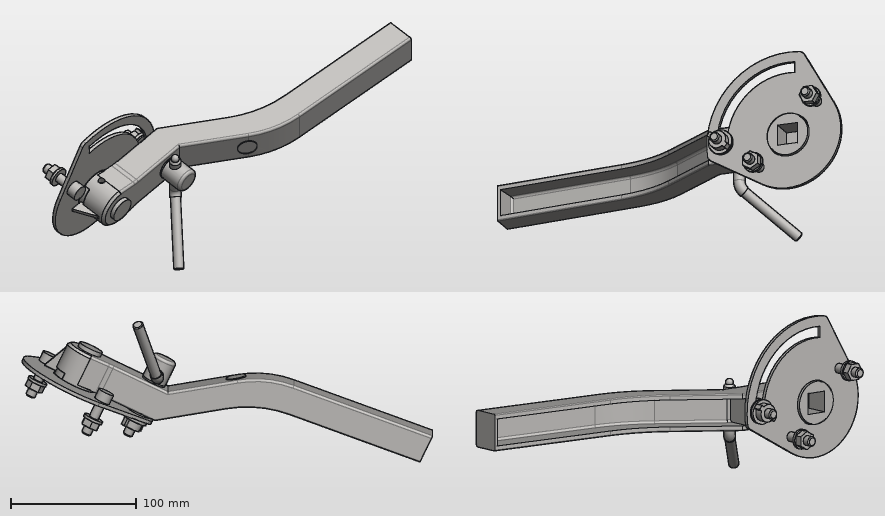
import cadquery as cq
import math


pick_margin = 0.5
edge_reach = 5.5

plate_thickness = 3.0
plate_small_radius = 45.0
plate_large_radius = 70.0
plate_side_slant = 30.0
plate_corner_radius = 5.0
plate_bore_diameter = 36.0
slot_radius = 57.0
slot_width = 9.0
slot_end_offset = 5.5

hub_diameter = 36.6
hub_end_x = 30.7
hub_chamfer = 2.2
spigot_diameter = 35.0
spigot_length = 2.0
socket_size = 17.0
socket_depth = 20.0
end_disc_diameter = 20.0
end_disc_thickness = 3.6
oil_hole_diameter = 5.3
oil_hole_depth = 6.0
oil_hole_x = 11.2
hub_band_end_x = 8.3
hub_band_depth = 1.0
hub_band_half_angle = 53.0
rib_thickness = 3.0
rib_start_x = 5.0
rib_start_y = -27.5
rib_end_y = -17.0

arm_height = 30.0
arm_back_x = 5.0
arm_bend_y = 70.5
arm_middle_angle = math.radians(35.3)
arm_tip_angle = math.radians(5.5)
arm_middle_width = 26.1
arm_tip_width = 23.3
arm_tip_y = 276.0
arm_tip_max_x = 90.32
arm_back_bend_radius = 98.0
arm_front_bend_radius = 88.0
arm_front_fillet = 2.0
arm_back_fillet = 0.8
pocket_wall = 4.0
pocket_end_wall = 2.6
pocket_depth = 19.5
pocket_fillet = 2.0
pocket_overcut = 2.0
pocket_start_y = 67.0
ramp_start_y = 25.0
ramp_foot_y = 20.0
ramp_foot_radius = 22.0
ramp_end_y = 2.0
ramp_end_z = 18.25
badge_diameter = 16.0
badge_height = 0.8
badge_y = 114.9

bolt_circle_radius = 35.0
bolt_diameter = 8.0
bolt_end_x = -27.0
bolt_chamfer = 1.0
bolt_head_diameter = 13.0
bolt_head_height = 8.0
nut_across_flats = 13.0
nut_outer_x = -20.4
nut_inner_x = -14.5
lock_washer_inner_x = -12.2
lock_washer_diameter = 16.0

clamp_diameter = 20.0
clamp_end_x = 52.5
clamp_fillet = 2.5
lock_ring_diameter = 19.4
lock_ring_thickness = 1.3
clamp_stud_end_x = -17.5
clamp_nut_outer_x = -10.6
clamp_nut_diameter = 14.5
clamp_washer_outer_x = -3.9
clamp_nut_ear_angle = 38.0
clamp_nut_ear_span = 19.0
clamp_nut_ear_width = 4.0
handle_x = 38.2
handle_pin_diameter = 9.5
handle_rod_diameter = 8.4
handle_collar_z = 14.5
handle_cone_z = 16.5
handle_ball_diameter = 6.5
handle_ball_z = 17.7
handle_elbow_z = -24.9
handle_bend_radius = 9.4
handle_run = 53.0
handle_drop = 34.37
handle_heading = -43.2
handle_chamfer = 0.8


def cylinder_x(diameter, x_start, x_end, y=0.0, z=0.0):
    """Round bar along X."""
    face = cq.Workplane("YZ", origin=(x_start, y, z)).circle(diameter / 2)
    return face.extrude(x_end - x_start)


def box_around(x_range, y_range, z_range):
    """Selector box that reaches slightly past the given ranges."""
    ranges = (x_range, y_range, z_range)
    low = tuple(start - pick_margin for start, end in ranges)
    high = tuple(end + pick_margin for start, end in ranges)
    return cq.selectors.BoxSelector(low, high)


def sector_plate():
    """Quarter-sector plate: a small disc joined by tangent sides to a larger arc."""
    tangent_length = math.sqrt(plate_large_radius**2 - plate_small_radius**2)
    slant = math.radians(plate_side_slant)
    across = plate_small_radius * math.cos(slant)
    along = plate_small_radius * math.sin(slant)
    corner_far = across - tangent_length * math.sin(slant)
    corner_high = along + tangent_length * math.cos(slant)
    small_mid = -plate_small_radius / math.sqrt(2)
    large_mid = plate_large_radius / math.sqrt(2)
    plate = (
        cq.Workplane("YZ")
        .moveTo(-across, along)
        .lineTo(-corner_far, corner_high)
        .threePointArc((large_mid, large_mid), (corner_high, -corner_far))
        .lineTo(along, -across)
        .threePointArc((small_mid, small_mid), (-across, along))
        .close()
        .extrude(plate_thickness)
    )
    depth = (0, plate_thickness)
    upper = box_around(depth, (-corner_far, -corner_far), (corner_high, corner_high))
    lower = box_around(depth, (corner_high, corner_high), (-corner_far, -corner_far))
    plate = plate.edges("|X").edges(upper + lower).fillet(plate_corner_radius)
    plate = plate.cut(cylinder_x(plate_bore_diameter, 0, plate_thickness))
    return plate.cut(arc_slot())


def arc_slot():
    """Arc slot whose two ends are cut square to the Y and Z axes."""
    outer = cylinder_x(2 * slot_radius + slot_width, 0, plate_thickness)
    ring = outer.cut(cylinder_x(2 * slot_radius - slot_width, 0, plate_thickness))
    quadrant = cq.Workplane("XY").box(
        plate_thickness, plate_large_radius, plate_large_radius, centered=False
    )
    return ring.intersect(quadrant.translate((0, -slot_end_offset, -slot_end_offset)))


def pivot_hub():
    """Hub body with its spigot, end disc and triangular rib."""
    hub = cylinder_x(hub_diameter, plate_thickness, hub_end_x).faces(">X").chamfer(hub_chamfer)
    hub = hub.cut(hub_band())
    hub = hub.union(cylinder_x(spigot_diameter, -spigot_length, plate_thickness))
    hub = hub.union(cylinder_x(end_disc_diameter, hub_end_x, hub_end_x + end_disc_thickness))
    rib = (
        cq.Workplane("XY", origin=(0, 0, -rib_thickness / 2))
        .moveTo(rib_start_x, 0)
        .lineTo(rib_start_x, rib_start_y)
        .lineTo(hub_end_x - hub_chamfer, rib_end_y)
        .lineTo(hub_end_x - hub_chamfer, 0)
        .close()
        .extrude(rib_thickness)
    )
    return hub.union(rib)


def hub_band():
    """Shallow band recessed into the -Y side of the hub next to the plate."""
    inner = cylinder_x(hub_diameter - 2 * hub_band_depth, plate_thickness, hub_band_end_x)
    half_width = hub_diameter * math.tan(math.radians(hub_band_half_angle))
    wedge = (
        cq.Workplane("YZ", origin=(plate_thickness, 0, 0))
        .polyline([(0, 0), (-hub_diameter, half_width), (-hub_diameter, -half_width)])
        .close()
        .extrude(hub_band_end_x - plate_thickness)
    )
    return wedge.cut(inner)


def arm_outline_points():
    """Four back points and four front points of the arm, from the hub to the tip."""
    middle_slope = math.tan(arm_middle_angle)
    tip_slope = math.tan(arm_tip_angle)
    tip_back_x = arm_tip_max_x - arm_tip_width / math.cos(arm_tip_angle)

    def side(base_x, middle_x, tip_x):
        first_y = arm_bend_y + (base_x - middle_x) / middle_slope
        tip_base_x = tip_x - tip_slope * (arm_tip_y - arm_bend_y)
        rise = (tip_base_x - middle_x) / (middle_slope - tip_slope)
        second = (middle_x + middle_slope * rise, arm_bend_y + rise)
        return [(base_x, ramp_start_y), (base_x, first_y), second, (tip_x, arm_tip_y)]

    back = side(arm_back_x, arm_back_x, tip_back_x)
    front = side(hub_end_x, arm_back_x + arm_middle_width, arm_tip_max_x)
    return back, front


def bent_prism(back, front, height, back_radius, front_radius):
    """Prism centred on Z = 0 with the second bend rounded on both sides."""
    prism = (
        cq.Workplane("XY", origin=(0, 0, -height / 2))
        .polyline(back + front[::-1])
        .close()
        .extrude(height)
    )
    for (x, y), radius in ((back[2], back_radius), (front[2], front_radius)):
        bend = box_around((x, x), (y, y), (-height, height))
        prism = prism.edges("|Z").edges(bend).fillet(radius)
    return prism


def side_edges(side, height):
    """Selector for the top and bottom edges along one side of a bent prism."""
    centres = [side[2]]
    for (x_start, y_start), (x_end, y_end) in zip(side, side[1:]):
        centres.append(((x_start + x_end) / 2, (y_start + y_end) / 2))
    boxes = [
        box_around((x - edge_reach, x + edge_reach), (y - edge_reach, y + edge_reach), (z, z))
        for x, y in centres
        for z in (-height / 2, height / 2)
    ]
    selector = boxes[0]
    for box in boxes[1:]:
        selector = selector + box
    return selector


def lever_arm():
    """Bent arm, open channel on its back from the first bend to near the tip."""
    back, front = arm_outline_points()
    arm = bent_prism(back, front, arm_height, arm_back_bend_radius, arm_front_bend_radius)
    arm = arm.edges(side_edges(front, arm_height)).fillet(arm_front_fillet)
    arm = arm.edges(side_edges(back, arm_height)).fillet(arm_back_fillet)
    return arm.cut(channel(back))


def channel(back):
    """Channel of constant depth that follows the back of the arm."""
    end_y = arm_tip_y - pocket_end_wall
    end_x = back[3][0] - pocket_end_wall * math.tan(arm_tip_angle)
    end_slope = math.tan(arm_tip_angle)
    path = [(arm_back_x, pocket_start_y), back[1], back[2]]

    def side(shift):
        return [(x + shift, y) for x, y in path] + [(end_x + shift, end_y - end_slope * shift)]

    pocket_height = arm_height - 2 * pocket_wall
    floor = side(pocket_depth)
    bend_radius = arm_back_bend_radius
    opening = bent_prism(side(-pocket_overcut), floor, pocket_height, bend_radius, bend_radius)
    floor_end_x, floor_end_y = floor[3]
    end_edge = box_around((floor_end_x, floor_end_x), (floor_end_y, floor_end_y), (0, 0))
    return opening.edges(side_edges(floor, pocket_height) + end_edge).fillet(pocket_fillet)


def hub_ramp():
    """Block that widens from the arm height up to the hub, with a rounded foot."""
    low = arm_height / 2
    outline = [
        (ramp_start_y, -low),
        (ramp_start_y, low),
        (ramp_foot_y, low),
        (ramp_end_y, ramp_end_z),
        (ramp_end_y, -ramp_end_z),
        (ramp_foot_y, -low),
    ]
    ramp = (
        cq.Workplane("YZ", origin=(arm_back_x, 0, 0))
        .polyline(outline)
        .close()
        .extrude(hub_end_x - arm_back_x)
    )
    foot = box_around((arm_back_x, hub_end_x), (ramp_foot_y, ramp_foot_y), (-low, low))
    ramp = ramp.edges("|X").edges(foot).fillet(ramp_foot_radius)
    return ramp.faces(">X").edges("not |Z").fillet(arm_front_fillet)


def badge():
    """Round plain badge on the front of the middle stretch of the arm."""
    front = arm_outline_points()[1]
    centre_x = front[1][0] + math.tan(arm_middle_angle) * (badge_y - front[1][1])
    outward = (math.cos(arm_middle_angle), -math.sin(arm_middle_angle), 0)
    face = cq.Plane(origin=(centre_x, badge_y, 0), xDir=(0, 0, 1), normal=outward)
    return cq.Workplane(face).circle(badge_diameter / 2).extrude(badge_height, both=True)


def plate_bolt(y, z, nut_angle):
    """Cap screw through the plate with its nut and lock washer."""
    head_end_x = plate_thickness + bolt_head_height
    bolt = cylinder_x(bolt_diameter, bolt_end_x, head_end_x, y, z).faces("<X").chamfer(bolt_chamfer)
    bolt = bolt.union(cylinder_x(bolt_head_diameter, plate_thickness, head_end_x, y, z))
    across_corners = nut_across_flats / math.cos(math.pi / 6)
    nut = (
        cq.Workplane("YZ", origin=(nut_outer_x, y, z))
        .polygon(6, across_corners)
        .extrude(nut_inner_x - nut_outer_x)
        .rotate((0, y, z), (1, y, z), nut_angle)
    )
    bolt = bolt.union(nut)
    return bolt.union(cylinder_x(lock_washer_diameter, nut_inner_x, lock_washer_inner_x, y, z))


def clamp():
    """Clamp boss on the arm, with the stud, eared nut and washers behind the plate."""
    y = slot_radius
    boss_start_x = hub_end_x + lock_ring_thickness
    body = cylinder_x(clamp_diameter, boss_start_x, clamp_end_x, y).faces(">X").edges().fillet(clamp_fillet)
    body = body.union(cylinder_x(clamp_diameter, plate_thickness, arm_back_x + arm_back_fillet, y))
    body = body.union(cylinder_x(lock_ring_diameter, arm_back_x, boss_start_x, y))
    stud = cylinder_x(bolt_diameter, clamp_stud_end_x, hub_end_x, y).faces("<X").chamfer(bolt_chamfer)
    body = body.union(stud)
    body = body.union(cylinder_x(clamp_nut_diameter, clamp_nut_outer_x, clamp_washer_outer_x, y))
    ears = (
        cq.Workplane("YZ")
        .rect(clamp_nut_ear_span, clamp_nut_ear_width)
        .extrude(clamp_washer_outer_x - clamp_nut_outer_x)
        .rotate((0, 0, 0), (1, 0, 0), clamp_nut_ear_angle)
        .translate((clamp_nut_outer_x, y, 0))
    )
    body = body.union(ears)
    body = body.union(cylinder_x(clamp_diameter, clamp_washer_outer_x, -lock_ring_thickness, y))
    return body.union(cylinder_x(lock_ring_diameter, -lock_ring_thickness, 0, y))


def handle():
    """Cross pin with a ball end above and a bent rod below."""
    pin_radius = handle_pin_diameter / 2
    ball_radius = handle_ball_diameter / 2
    centre = (handle_x, slot_radius, 0)
    rod_angle = math.atan2(handle_run, handle_drop)
    bend_length = handle_bend_radius * math.tan(rod_angle / 2)
    bend_start_z = handle_elbow_z + bend_length

    pin = (
        cq.Workplane("XZ")
        .polyline(
            [
                (0, bend_start_z),
                (pin_radius, bend_start_z),
                (pin_radius, handle_collar_z),
                (ball_radius, handle_cone_z),
                (0, handle_cone_z),
            ]
        )
        .close()
        .revolve(360, (0, 0, 0), (0, 1, 0))
    )
    pin = pin.union(cq.Workplane("XY").sphere(ball_radius).translate((0, 0, handle_ball_z)))

    elbow = (
        cq.Workplane("XY", origin=(0, 0, bend_start_z))
        .circle(pin_radius)
        .revolve(math.degrees(rod_angle), (handle_bend_radius, 0, 0), (handle_bend_radius, -1, 0))
    )
    direction = (math.sin(rod_angle), 0, -math.cos(rod_angle))
    rod_start = (bend_length * direction[0], 0, handle_elbow_z + bend_length * direction[2])
    rod_length = math.hypot(handle_run, handle_drop) - bend_length
    rod_plane = cq.Plane(origin=rod_start, xDir=(0, 1, 0), normal=direction)
    rod = cq.Workplane(rod_plane).circle(handle_rod_diameter / 2).extrude(rod_length)
    rod = rod.faces(">X").chamfer(handle_chamfer)

    bent = pin.union(elbow).union(rod)
    return bent.rotate((0, 0, 0), (0, 0, 1), handle_heading).translate(centre)


def socket():
    """Square drive socket entering the spigot."""
    return (
        cq.Workplane("YZ", origin=(-spigot_length, 0, 0))
        .rect(socket_size, socket_size)
        .extrude(socket_depth)
    )


def oil_hole():
    """Blind hole in the top of the hub."""
    bottom_z = hub_diameter / 2 - oil_hole_depth
    drill = cq.Workplane("XY", origin=(oil_hole_x, 0, bottom_z)).circle(oil_hole_diameter / 2)
    return drill.extrude(2 * oil_hole_depth)


result = sector_plate().union(lever_arm()).union(hub_ramp()).union(pivot_hub())
result = result.union(badge()).union(clamp()).union(handle())
bolt_offset = bolt_circle_radius / math.sqrt(2)
result = result.union(plate_bolt(bolt_offset, -bolt_offset, nut_angle=30))
result = result.union(plate_bolt(-bolt_offset, bolt_offset, nut_angle=0))
result = result.cut(socket()).cut(oil_hole())